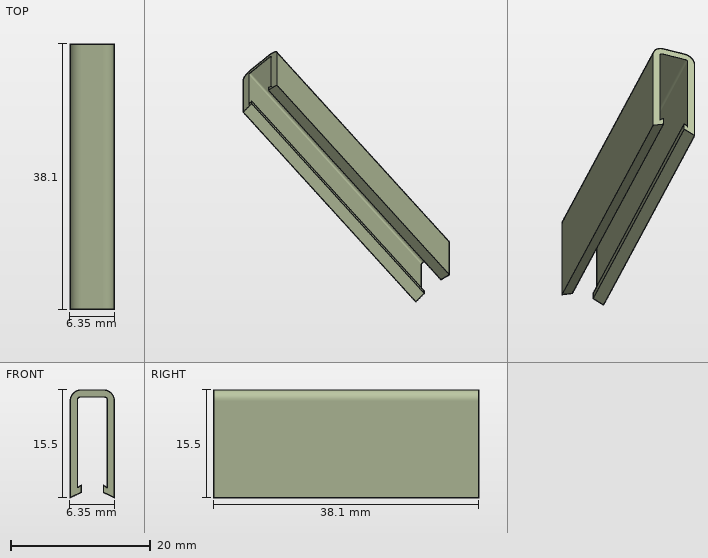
import cadquery as cq

length = 38.1
width = 6.35
height = 15.5

wall = 1.05
outer_radius = 1.6
inner_radius = 0.3

lip_reach = 1.6
lip_bottom_rise = 0.75
lip_top_rise = 1.83
lip_root_rise = 1.45

half_width = width / 2
half_cavity = half_width - wall
half_mouth = half_width - lip_reach


def make_shell():
    """Solid bar with rounded top edges, centred on X and Y, standing on Z = 0."""
    bar = cq.Workplane("XY").box(width, length, height, centered=(True, True, False))
    return bar.edges("|Y and >Z").fillet(outer_radius)


def make_cavity():
    """Space between the walls and lips, open at the bottom and both ends."""
    right_side = [
        (half_width, 0),
        (half_mouth, lip_bottom_rise),
        (half_mouth, lip_top_rise),
        (half_cavity, lip_root_rise),
        (half_cavity, height - wall),
    ]
    left_side = [(-x, z) for x, z in reversed(right_side)]
    outline = cq.Workplane("XZ").polyline(right_side + left_side).close()
    cavity = outline.extrude(length / 2, both=True)
    return cavity.edges("|Y and >Z").fillet(inner_radius)


result = make_shell().cut(make_cavity())